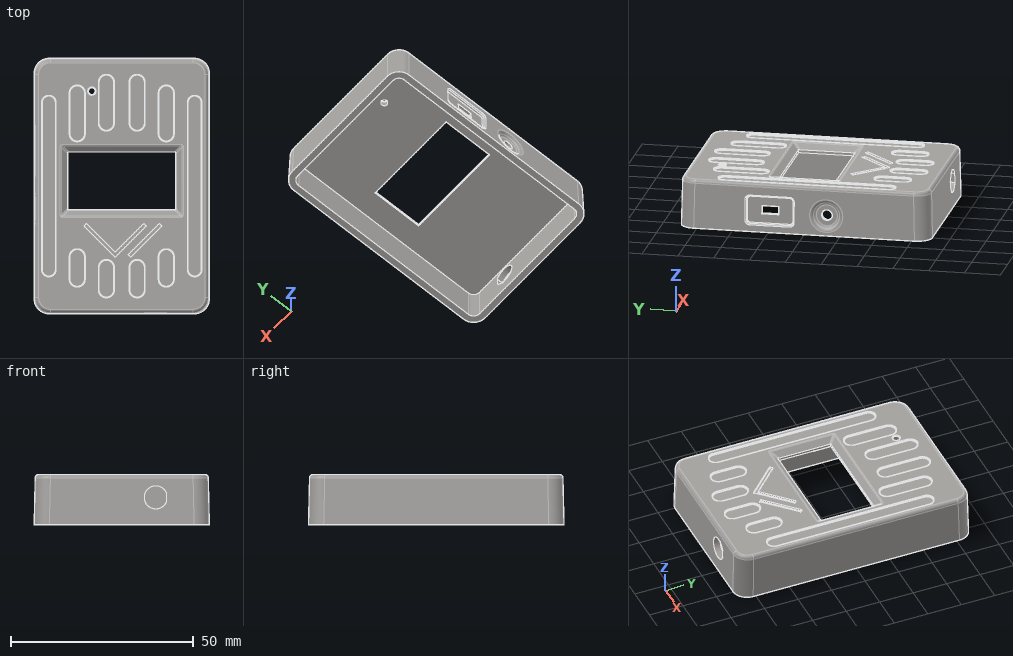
import cadquery as cq
import math

WIDTH = 48.0
LENGTH = 70.0
HEIGHT = 13.8
DRAFT_ANGLE = 1.3
CORNER_RADIUS = 4.2
TOP_EDGE_RADIUS = 1.0
WALL = 2.0
ROOF = 2.5

EDGE_CHAMFER = 0.2
CHAMFER_ANGLE = 45.0

WINDOW_Y = 1.4
WINDOW_WIDTH = 29.55
WINDOW_LENGTH = 15.75
WINDOW_SLOPE_RUN = 1.9
WINDOW_SLOPE_DEPTH = 1.7
WINDOW_CORNER_RADIUS = 0.55
WINDOW_LIP_RADIUS = 0.5

SLOT_DEPTH = 0.4
SLOT_WIDTH = 4.0
SLOT_INNER_X = 4.2
SLOT_OUTER_X = 12.2
REAR_SLOT_LENGTH = 15.1
REAR_SLOT_INNER_Y = 22.8
FRONT_SLOT_LENGTH = 10.1
FRONT_SLOT_INNER_Y = -25.35
SLOT_STAGGER = 2.95
SIDE_SLOT_X = 19.95
SIDE_SLOT_WIDTH = 3.6
SIDE_SLOT_LENGTH = 49.3

GROOVE_DEPTH = 0.5
GROOVE_WIDTH = 1.0
GROOVE_RUN = 8.55
GROOVE_TIP_Y = -19.45
VEE_TIP_X = -1.8
SLASH_TIP_X = 2.45

INDICATOR_X = -8.2
INDICATOR_Y = 26.0
INDICATOR_DIAMETER = 1.8

CONNECTOR_Y = 9.65
CONNECTOR_Z = 6.15
CONNECTOR_RECESS_LENGTH = 13.8
CONNECTOR_RECESS_HEIGHT = 8.5
CONNECTOR_RECESS_CORNER = 1.4
CONNECTOR_RECESS_DEPTH = 0.9
CONNECTOR_RECESS_CHAMFER = 0.35
CONNECTOR_RECESS_DRAFT = 20.0
CONNECTOR_LENGTH = 4.7
CONNECTOR_HEIGHT = 2.3

JACK_Y = -6.15
JACK_Z = 5.7
JACK_RECESS_RADIUS = 4.6
JACK_FLOOR_RADIUS = 2.95
JACK_RECESS_DEPTH = 1.0
JACK_RIM_RUN = 1.0
JACK_HOLE_RADIUS = 1.5

FLATTED_X = 9.3
FLATTED_Z = 7.5
FLATTED_RADIUS = 3.15
FLATTED_FLAT = 2.9


def drafted_block(inset, height, corner_radius):
    """Block standing on Z = 0 with drafted sides and rounded upright edges."""
    block = (
        cq.Workplane("XY")
        .rect(WIDTH - 2 * inset, LENGTH - 2 * inset)
        .extrude(height, taper=DRAFT_ANGLE)
    )
    return block.edges("not #Z").fillet(corner_radius)


def side_offset(z):
    """How far the draft has moved a side wall inward at a height."""
    return z * math.tan(math.radians(DRAFT_ANGLE))


def slot_cutter(x, y, width, length):
    """Round-ended slot along Y with a chamfered rim at the top face."""
    rim = cq.Workplane("XY", origin=(x, y, HEIGHT))
    slot = rim.slot2D(length, width, 90).extrude(-SLOT_DEPTH)
    flare = (
        rim.slot2D(length + 2 * EDGE_CHAMFER, width + 2 * EDGE_CHAMFER, 90)
        .extrude(-EDGE_CHAMFER, taper=CHAMFER_ANGLE)
    )
    return slot.union(flare)


def cut_slots(body):
    for side in (-1, 1):
        body = body.cut(slot_cutter(side * SIDE_SLOT_X, 0, SIDE_SLOT_WIDTH, SIDE_SLOT_LENGTH))
        for inner_y, length, outer_shift in (
            (REAR_SLOT_INNER_Y, REAR_SLOT_LENGTH, -SLOT_STAGGER),
            (FRONT_SLOT_INNER_Y, FRONT_SLOT_LENGTH, SLOT_STAGGER),
        ):
            body = body.cut(slot_cutter(side * SLOT_INNER_X, inner_y, SLOT_WIDTH, length))
            body = body.cut(
                slot_cutter(side * SLOT_OUTER_X, inner_y + outer_shift, SLOT_WIDTH, length)
            )
    return body


def cut_window(body):
    center = cq.Workplane("XY", origin=(0, WINDOW_Y, HEIGHT))
    mouth_width = WINDOW_WIDTH + 2 * WINDOW_SLOPE_RUN
    mouth_length = WINDOW_LENGTH + 2 * WINDOW_SLOPE_RUN
    slope_angle = math.degrees(math.atan(WINDOW_SLOPE_RUN / WINDOW_SLOPE_DEPTH))
    funnel = (
        center.rect(mouth_width, mouth_length)
        .extrude(-WINDOW_SLOPE_DEPTH, taper=slope_angle)
        .edges("not #Z")
        .fillet(WINDOW_CORNER_RADIUS)
    )
    opening = center.rect(WINDOW_WIDTH, WINDOW_LENGTH).extrude(-HEIGHT)
    body = body.cut(funnel).cut(opening)
    margin = WINDOW_LIP_RADIUS
    lip_zone = cq.selectors.BoxSelector(
        (-mouth_width / 2 - margin, WINDOW_Y - mouth_length / 2 - margin, HEIGHT - margin),
        (mouth_width / 2 + margin, WINDOW_Y + mouth_length / 2 + margin, HEIGHT + margin),
    )
    return body.faces(">Z").edges(lip_zone).fillet(WINDOW_LIP_RADIUS)


def diagonal_arm(tip_x, direction):
    """Groove rising at 45 degrees from its lowest corner, toward +X or -X."""
    corner_step = GROOVE_WIDTH / math.sqrt(2)
    outline = [
        (0, 0),
        (direction * GROOVE_RUN, GROOVE_RUN),
        (direction * (GROOVE_RUN - corner_step), GROOVE_RUN + corner_step),
        (-direction * corner_step, corner_step),
    ]
    return (
        cq.Workplane("XY", origin=(tip_x, GROOVE_TIP_Y, HEIGHT))
        .polyline(outline)
        .close()
        .extrude(-GROOVE_DEPTH)
    )


def cut_grooves(body):
    for tip_x, direction in ((VEE_TIP_X, 1), (VEE_TIP_X, -1), (SLASH_TIP_X, 1)):
        body = body.cut(diagonal_arm(tip_x, direction))
    return body


def cut_indicator(body):
    rim = cq.Workplane("XY", origin=(INDICATOR_X, INDICATOR_Y, HEIGHT))
    radius = INDICATOR_DIAMETER / 2
    hole = rim.circle(radius).extrude(-HEIGHT)
    flare = rim.circle(radius + EDGE_CHAMFER).extrude(-EDGE_CHAMFER, taper=CHAMFER_ANGLE)
    return body.cut(hole).cut(flare)


def left_wall_plane(y, z):
    """Sketch plane on the -X wall, tilted with its draft: local X is -Y, the normal points out."""
    tilt = math.radians(DRAFT_ANGLE)
    return cq.Plane(
        origin=(side_offset(z) - WIDTH / 2, y, z),
        xDir=(0, -1, 0),
        normal=(-math.cos(tilt), 0, math.sin(tilt)),
    )


def rounded_recess(plane, length, height, corner_radius, depth, taper):
    """Rounded rectangle sunk behind a plane, narrowing with depth by a taper angle."""
    return (
        cq.Workplane(plane)
        .sketch()
        .rect(length, height)
        .vertices()
        .fillet(corner_radius)
        .finalize()
        .extrude(-depth, taper=taper)
    )


def cut_connector(body):
    plane = left_wall_plane(CONNECTOR_Y, CONNECTOR_Z)
    chamfer = CONNECTOR_RECESS_CHAMFER
    rim = rounded_recess(
        plane,
        CONNECTOR_RECESS_LENGTH,
        CONNECTOR_RECESS_HEIGHT,
        CONNECTOR_RECESS_CORNER,
        chamfer,
        CHAMFER_ANGLE,
    )
    pocket = rounded_recess(
        cq.Plane(plane.origin - plane.zDir * chamfer, plane.xDir, plane.zDir),
        CONNECTOR_RECESS_LENGTH - 2 * chamfer,
        CONNECTOR_RECESS_HEIGHT - 2 * chamfer,
        CONNECTOR_RECESS_CORNER - chamfer,
        CONNECTOR_RECESS_DEPTH - chamfer,
        CONNECTOR_RECESS_DRAFT,
    )
    opening = cq.Workplane(plane).rect(CONNECTOR_LENGTH, CONNECTOR_HEIGHT).extrude(-2 * WALL)
    return body.cut(rim).cut(pocket).cut(opening)


def cut_jack(body):
    """Recess with an S-shaped side: a rounded rim flowing into a rounded floor edge."""
    face = cq.Workplane(left_wall_plane(JACK_Y, JACK_Z))
    run = JACK_RECESS_RADIUS - JACK_FLOOR_RADIUS
    half_sweep = math.atan(JACK_RECESS_DEPTH / run)
    rim_radius = JACK_RIM_RUN / math.sin(2 * half_sweep)
    floor_radius = (run - JACK_RIM_RUN) / math.sin(2 * half_sweep)
    rim_depth = JACK_RIM_RUN * math.tan(half_sweep)
    section = (
        face.transformed(rotate=(90, 0, 0))
        .lineTo(JACK_RECESS_RADIUS, 0)
        .radiusArc((JACK_RECESS_RADIUS - JACK_RIM_RUN, -rim_depth), -rim_radius)
        .radiusArc((JACK_FLOOR_RADIUS, -JACK_RECESS_DEPTH), floor_radius)
        .lineTo(0, -JACK_RECESS_DEPTH)
        .close()
    )
    recess = section.revolve(360, (0, 0, 0), (0, 1, 0))
    hole = face.circle(JACK_HOLE_RADIUS).extrude(-2 * WALL)
    return body.cut(recess).cut(hole)


def cut_flatted_hole(body):
    face = cq.Workplane("XZ", origin=(FLATTED_X, -LENGTH / 2, FLATTED_Z))
    half_flat = math.sqrt(FLATTED_RADIUS**2 - FLATTED_FLAT**2)
    hole = (
        face.moveTo(FLATTED_FLAT, -half_flat)
        .lineTo(FLATTED_FLAT, half_flat)
        .threePointArc((-FLATTED_RADIUS, 0), (FLATTED_FLAT, -half_flat))
        .close()
        .extrude(-2 * WALL)
    )
    return body.cut(hole)


shell = drafted_block(0, HEIGHT, CORNER_RADIUS).faces(">Z").edges().fillet(TOP_EDGE_RADIUS)
shell = shell.cut(drafted_block(WALL, HEIGHT - ROOF, CORNER_RADIUS - WALL))
shell = cut_window(shell)
shell = cut_slots(shell)
shell = cut_grooves(shell)
shell = cut_indicator(shell)
shell = cut_connector(shell)
shell = cut_jack(shell)
result = cut_flatted_hole(shell)